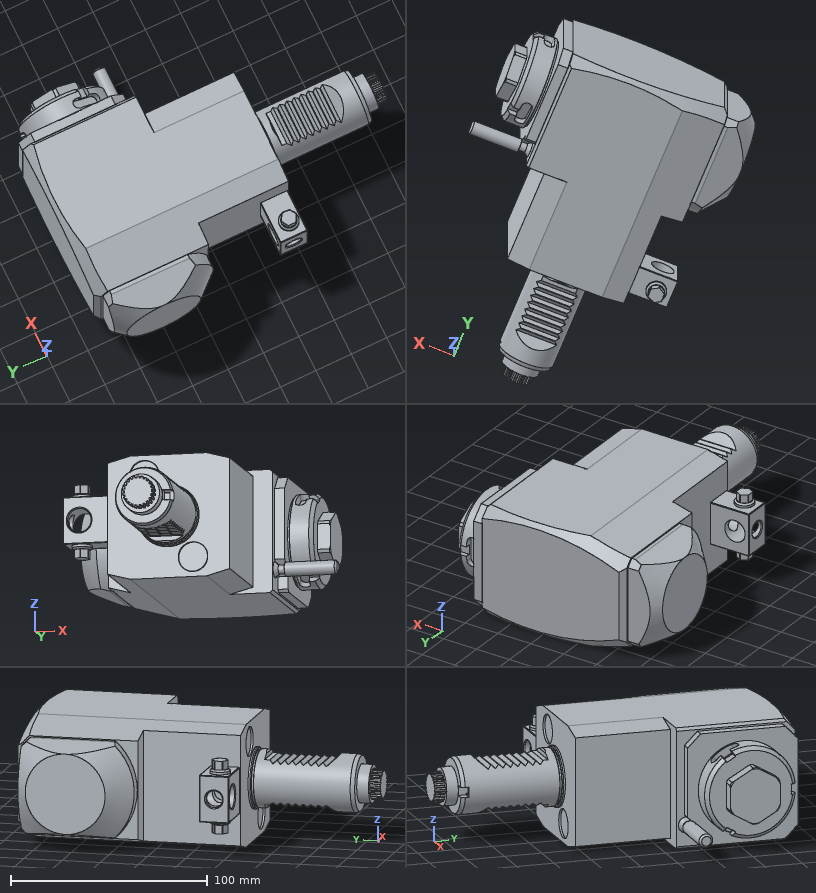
import cadquery as cq
import math


HALF_HEIGHT = 32.0
FLAT_HALF_WIDTH = 20.0
TAPER = math.tan(math.radians(15))
STEM_HALF_WIDTH = 32.0
STEM_LENGTH = 51.0
BODY_BACK = 114.7
BODY_LEFT = -43.7
BODY_RIGHT = 42.4
RIGHT_EDGE_CHAMFER = 1.5
BACK_LEFT_CHAMFER = 3.0
BEVEL_RADIUS = 136.5
BEVEL_CENTER_X = 10.5
BEVEL_BACK_HALF_HEIGHT = 29.7

RECESS_X = 12.7
RECESS_Z = 21.7
RECESS_RADIUS = 7.6
RECESS_DEPTH = 1.1

SPINDLE_Y = 84.8
CAP_LEFT = -61.5
CAP_FACE_RADIUS = 21.0
CAP_RADIUS = 33.5
CAP_CONE_LENGTH = 11.3
CAP_FLAT_Y = 25.8
CAP_FLAT_Z = 25.1

PLATE_RIGHT = 47.7
PLATE_HALF = 29.7
PLATE_CORNER = 7.0
PLATE_RELIEF_Z = -14.0
PLATE_RELIEF_DEPTH = 7.6
PLATE_RELIEF_CHAMFER = 1.5

NECK_RADIUS = 23.3
COLLAR_LEFT = 48.8
COLLAR_RIGHT = 61.0
COLLAR_RADIUS = 24.4
COLLAR_CHAMFER = 2.0
SLOT_X = 53.0
SLOT_WIDTH = 5.5
SLOT_LENGTH = 16.7
SLOT_DEPTH = 4.5
KEYWAY_DEPTH = 3.0
SLOT_COUNT = 3
SLOT_START_ANGLE = 30
HEX_RIGHT = 67.7
HEX_ACROSS_FLATS = 26.8
HEX_TURNED_RADIUS = 15.0
HEX_CHAMFER = 0.5

PIN_Y = 56.0
PIN_Z = -19.3
PIN_RIGHT = 75.3
PIN_LEFT = 48.0
PIN_RADIUS = 3.6
PIN_CHAMFER = 1.1
PIN_FOOT_RADIUS = 4.2
PIN_NECK_RADIUS = 2.4
PIN_FOOT_LENGTH = 2.2

SHANK_RADIUS = 15.1
FLANGE_RADIUS = 16.0
FLANGE_LENGTH = 1.5
FLANGE_CHAMFER = 0.5
GROOVE_RADIUS = 14.5
GROOVE_LENGTH = 1.1
SHANK_END = -55.5
SHANK_CHAMFER_LENGTH = 2.2
SHANK_CHAMFER_DEPTH = 0.7
DRIVE_RADIUS = 10.0
DRIVE_END = -61.7
SPLINE_END = -67.3
SPLINE_RADIUS = 8.0
SPLINE_ROOT_RADIUS = 7.1
SPLINE_TEETH = 22
TOOTH_ROOT_SHARE = 0.6
TOOTH_TIP_SHARE = 0.4
END_SLOT_WIDTH = 5.3
END_SLOT_DEPTH = 4.2
SLOT_FLOOR_WIDTH = 3.6
SLOT_FLOOR_RADIUS = 13.0
SLOT_FLOOR_DEPTH = 1.0

RACK_START = -7.1
RACK_RIM_Z = 14.2
RACK_FLAT_Z = 11.8
RACK_ROOT_Z = 10.2
RACK_WIDTH = 2 * SHANK_RADIUS
TOOTH_PITCH = 4.0
TOOTH_COUNT = 8
FIRST_ROOT_Y = -11.8
TOOTH_LONG_SIDE = 2.0
TOOTH_SHORT_SIDE = 1.6

BLOCK_LEFT = -55.5
BLOCK_FRONT = 0.5
BLOCK_BACK = 16.0
BLOCK_HALF_HEIGHT = 12.2
BLOCK_CHAMFER = 0.4
BLOCK_HOLE_X = -47.0
BLOCK_HOLE_RADIUS = 6.2
SIDE_HOLE_RADIUS = 4.4
HOLE_CHAMFER = 0.5
SIDE_HOLE_END = -36.4
SOCKET_WIDTH = 3.0
SOCKET_DEPTH = 1.8
NOZZLE_Y = 7.1
NOZZLE_FLANGE_RADIUS = 5.3
NOZZLE_FLANGE_TOP = 13.5
NOZZLE_TURNED_RADIUS = 4.2
NOZZLE_ACROSS_FLATS = 7.5
NOZZLE_CONE_TOP = 14.4
NOZZLE_TOP = 19.0

CUT_MARGIN = 1.8


def box(x0, x1, y0, y1, z0, z1):
    """Box between the given limits."""
    return cq.Workplane("XY").box(x1 - x0, y1 - y0, z1 - z0, centered=False).translate((x0, y0, z0))


def slope_height(x):
    """Half height of the housing where its top and bottom slope at 15 degrees."""
    return HALF_HEIGHT - (abs(x) - FLAT_HALF_WIDTH) * TAPER


def prism_along_y(half_outline, y0, y1):
    """Prism from y0 to y1 whose section is the given upper outline and its mirror image below."""
    lower = [(x, -z) for x, z in reversed(half_outline)]
    outline = cq.Workplane("XZ", origin=(0, y0, 0)).polyline(half_outline + lower).close()
    return outline.extrude(y0 - y1)


def turned_along_x(profile, y, z):
    """Solid turned about a line along X through (y, z), from (x, radius) points."""
    first_x, last_x = profile[0][0], profile[-1][0]
    outline = [(first_x, 0)] + profile + [(last_x, 0)]
    turned = cq.Workplane("XY").polyline(outline).close().revolve(360, (0, 0), (1, 0))
    return turned.translate((0, y, z))


def make_housing():
    head_outline = [
        (BODY_LEFT, slope_height(BODY_LEFT)),
        (-FLAT_HALF_WIDTH, HALF_HEIGHT),
        (BODY_RIGHT - RIGHT_EDGE_CHAMFER, HALF_HEIGHT),
        (BODY_RIGHT, HALF_HEIGHT - RIGHT_EDGE_CHAMFER),
    ]
    stem_outline = [
        (-STEM_HALF_WIDTH, slope_height(STEM_HALF_WIDTH)),
        (-FLAT_HALF_WIDTH, HALF_HEIGHT),
        (FLAT_HALF_WIDTH, HALF_HEIGHT),
        (STEM_HALF_WIDTH, slope_height(STEM_HALF_WIDTH)),
    ]
    head = prism_along_y(head_outline, STEM_LENGTH, BODY_BACK)
    for side in (1, -1):
        center = cq.Vector(BEVEL_CENTER_X, BODY_BACK, side * (BEVEL_BACK_HALF_HEIGHT - BEVEL_RADIUS))
        front_radius = BEVEL_RADIUS + BODY_BACK
        cone = cq.Solid.makeCone(BEVEL_RADIUS, front_radius, BODY_BACK, center, cq.Vector(0, -1, 0))
        head = head.intersect(cq.Workplane(cone))
    corner = [
        (BODY_LEFT, BODY_BACK),
        (BODY_LEFT + BACK_LEFT_CHAMFER, BODY_BACK),
        (BODY_LEFT, BODY_BACK - BACK_LEFT_CHAMFER),
    ]
    head = head.cut(cq.Workplane("XY").polyline(corner).close().extrude(HALF_HEIGHT, both=True))
    housing = head.union(prism_along_y(stem_outline, 0, STEM_LENGTH))
    for side in (1, -1):
        recess = cq.Workplane("XZ").center(-side * RECESS_X, side * RECESS_Z).circle(RECESS_RADIUS)
        housing = housing.cut(recess.extrude(-RECESS_DEPTH))
    return housing


def make_cap():
    profile = [
        (CAP_LEFT, CAP_FACE_RADIUS),
        (CAP_LEFT + CAP_CONE_LENGTH, CAP_RADIUS),
        (BODY_LEFT, CAP_RADIUS),
    ]
    round_cap = turned_along_x(profile, SPINDLE_Y, 0)
    flat_limit_x = -FLAT_HALF_WIDTH - (HALF_HEIGHT - CAP_FLAT_Z) / TAPER
    flats = [
        (CAP_LEFT, slope_height(CAP_LEFT)),
        (flat_limit_x, CAP_FLAT_Z),
        (BODY_LEFT, CAP_FLAT_Z),
    ]
    return round_cap.intersect(prism_along_y(flats, 0, SPINDLE_Y + CAP_FLAT_Y))


def make_plate():
    low_y = SPINDLE_Y - PLATE_HALF
    high_y = SPINDLE_Y + PLATE_HALF
    relief_y = low_y + PLATE_RELIEF_DEPTH
    outline = [
        (low_y, PLATE_HALF - PLATE_CORNER),
        (low_y + PLATE_CORNER, PLATE_HALF),
        (high_y - PLATE_CORNER, PLATE_HALF),
        (high_y, PLATE_HALF - PLATE_CORNER),
        (high_y, PLATE_CORNER - PLATE_HALF),
        (high_y - PLATE_CORNER, -PLATE_HALF),
        (relief_y + PLATE_RELIEF_CHAMFER, -PLATE_HALF),
        (relief_y, PLATE_RELIEF_CHAMFER - PLATE_HALF),
        (relief_y, PLATE_RELIEF_Z - PLATE_RELIEF_DEPTH),
        (low_y, PLATE_RELIEF_Z),
    ]
    plane = cq.Workplane("YZ", origin=(BODY_RIGHT, 0, 0))
    return plane.polyline(outline).close().extrude(PLATE_RIGHT - BODY_RIGHT)


def make_collar():
    profile = [
        (PLATE_RIGHT, NECK_RADIUS),
        (COLLAR_LEFT, NECK_RADIUS),
        (COLLAR_LEFT, COLLAR_RADIUS),
        (COLLAR_RIGHT - COLLAR_CHAMFER, COLLAR_RADIUS),
        (COLLAR_RIGHT, COLLAR_RADIUS - COLLAR_CHAMFER),
    ]
    collar = turned_along_x(profile, SPINDLE_Y, 0)
    slot_plane = cq.Workplane("XY", origin=(SLOT_X, SPINDLE_Y, COLLAR_RADIUS - SLOT_DEPTH))
    slot = slot_plane.slot2D(SLOT_LENGTH, SLOT_WIDTH, 90).extrude(SLOT_DEPTH + CUT_MARGIN)
    keyway = box(
        SLOT_X, COLLAR_RIGHT + CUT_MARGIN,
        SPINDLE_Y - SLOT_WIDTH / 2, SPINDLE_Y + SLOT_WIDTH / 2,
        COLLAR_RADIUS - KEYWAY_DEPTH, COLLAR_RADIUS + CUT_MARGIN,
    )
    cutter = slot.union(keyway)
    axis = ((0, SPINDLE_Y, 0), (1, SPINDLE_Y, 0))
    for index in range(SLOT_COUNT):
        angle = SLOT_START_ANGLE + index * 360 / SLOT_COUNT
        collar = collar.cut(cutter.rotate(*axis, angle))
    return collar


def make_hexagon():
    across_corners = HEX_ACROSS_FLATS / math.cos(math.pi / 6)
    plane = cq.Workplane("YZ", origin=(COLLAR_RIGHT, SPINDLE_Y, 0))
    hexagon = plane.transformed(rotate=(0, 0, 90)).polygon(6, across_corners)
    profile = [
        (COLLAR_RIGHT, HEX_TURNED_RADIUS),
        (HEX_RIGHT - HEX_CHAMFER, HEX_TURNED_RADIUS),
        (HEX_RIGHT, HEX_TURNED_RADIUS - HEX_CHAMFER),
    ]
    return hexagon.extrude(HEX_RIGHT - COLLAR_RIGHT).intersect(turned_along_x(profile, SPINDLE_Y, 0))


def make_pin():
    profile = [
        (BODY_RIGHT, PIN_FOOT_RADIUS),
        (BODY_RIGHT + PIN_FOOT_LENGTH, PIN_NECK_RADIUS),
        (PIN_LEFT, PIN_NECK_RADIUS),
        (PIN_LEFT, PIN_RADIUS),
        (PIN_RIGHT - PIN_CHAMFER, PIN_RADIUS),
        (PIN_RIGHT, PIN_RADIUS - PIN_CHAMFER),
    ]
    return turned_along_x(profile, PIN_Y, PIN_Z)


def make_rack_cutter():
    """Cutter for the rack teeth above the shank axis."""
    outside = SHANK_RADIUS + CUT_MARGIN
    outline = [
        (RACK_START + outside - RACK_RIM_Z, outside),
        (RACK_START, RACK_RIM_Z),
        (RACK_START, RACK_FLAT_Z),
    ]
    for index in range(TOOTH_COUNT):
        root_y = FIRST_ROOT_Y - index * TOOTH_PITCH
        outline.append((root_y + TOOTH_LONG_SIDE, RACK_FLAT_Z))
        outline.append((root_y, RACK_ROOT_Z))
        outline.append((root_y - TOOTH_SHORT_SIDE, RACK_FLAT_Z))
    last_tip_y = root_y - TOOTH_SHORT_SIDE
    outline.append((last_tip_y - (outside - RACK_FLAT_Z), outside))
    return cq.Workplane("YZ").polyline(outline).close().extrude(RACK_WIDTH / 2, both=True)


def make_spline():
    half_pitch = math.pi / SPLINE_TEETH
    outline = []
    for tooth in range(SPLINE_TEETH):
        for radius, offset in (
            (SPLINE_ROOT_RADIUS, -TOOTH_ROOT_SHARE),
            (SPLINE_RADIUS, -TOOTH_TIP_SHARE),
            (SPLINE_RADIUS, TOOTH_TIP_SHARE),
            (SPLINE_ROOT_RADIUS, TOOTH_ROOT_SHARE),
        ):
            angle = (2 * tooth + offset) * half_pitch
            outline.append((radius * math.sin(angle), radius * math.cos(angle)))
    plane = cq.Workplane("XZ", origin=(0, DRIVE_END, 0))
    return plane.polyline(outline).close().extrude(DRIVE_END - SPLINE_END)


def make_shank():
    profile = [
        (0, 0),
        (FLANGE_RADIUS, 0),
        (FLANGE_RADIUS, FLANGE_CHAMFER - FLANGE_LENGTH),
        (FLANGE_RADIUS - FLANGE_CHAMFER, -FLANGE_LENGTH),
        (GROOVE_RADIUS, -FLANGE_LENGTH),
        (GROOVE_RADIUS, -FLANGE_LENGTH - GROOVE_LENGTH),
        (SHANK_RADIUS, -FLANGE_LENGTH - GROOVE_LENGTH),
        (SHANK_RADIUS, SHANK_END + SHANK_CHAMFER_LENGTH),
        (SHANK_RADIUS - SHANK_CHAMFER_DEPTH, SHANK_END),
        (DRIVE_RADIUS, SHANK_END),
        (DRIVE_RADIUS, DRIVE_END),
        (0, DRIVE_END),
    ]
    shank = cq.Workplane("XY").polyline(profile).close().revolve(360, (0, 0), (0, 1))
    rack = make_rack_cutter()
    shank = shank.cut(rack).cut(rack.mirror("XY"))
    slot_floor = SHANK_END + END_SLOT_DEPTH
    end_slot = box(
        DRIVE_RADIUS, SHANK_RADIUS + CUT_MARGIN,
        SHANK_END, slot_floor,
        -END_SLOT_WIDTH / 2, END_SLOT_WIDTH / 2,
    )
    floor_recess = box(
        DRIVE_RADIUS, SLOT_FLOOR_RADIUS,
        slot_floor, slot_floor + SLOT_FLOOR_DEPTH,
        -SLOT_FLOOR_WIDTH / 2, SLOT_FLOOR_WIDTH / 2,
    )
    return shank.cut(end_slot).cut(floor_recess).union(make_spline())


def make_nozzle():
    """Hexagon nozzle on a round flange, on top of the coolant block."""
    flange_profile = [
        (0, BLOCK_HALF_HEIGHT),
        (NOZZLE_FLANGE_RADIUS, BLOCK_HALF_HEIGHT),
        (NOZZLE_FLANGE_RADIUS, NOZZLE_FLANGE_TOP),
        (NOZZLE_TURNED_RADIUS, NOZZLE_CONE_TOP),
        (0, NOZZLE_CONE_TOP),
    ]
    flange = cq.Workplane("XZ").polyline(flange_profile).close().revolve(360, (0, 0), (0, 1))
    across_corners = NOZZLE_ACROSS_FLATS / math.cos(math.pi / 6)
    plane = cq.Workplane("XY", origin=(0, 0, NOZZLE_CONE_TOP)).transformed(rotate=(0, 0, 90))
    head_length = NOZZLE_TOP - NOZZLE_CONE_TOP
    hexagon = plane.polygon(6, across_corners).extrude(head_length)
    head = hexagon.intersect(plane.circle(NOZZLE_TURNED_RADIUS).extrude(head_length))
    return flange.union(head).translate((BLOCK_HOLE_X, NOZZLE_Y, 0))


def make_coolant_block():
    block = box(
        BLOCK_LEFT, -STEM_HALF_WIDTH, BLOCK_FRONT, BLOCK_BACK, -BLOCK_HALF_HEIGHT, BLOCK_HALF_HEIGHT
    )
    block = block.faces("<X").edges().chamfer(BLOCK_CHAMFER)
    block = block.edges("|X").chamfer(BLOCK_CHAMFER)
    front_face = cq.Workplane("XZ", origin=(BLOCK_HOLE_X, BLOCK_FRONT, 0))
    block = block.cut(front_face.circle(BLOCK_HOLE_RADIUS).extrude(BLOCK_FRONT - BLOCK_BACK))
    countersink = front_face.circle(BLOCK_HOLE_RADIUS + HOLE_CHAMFER)
    block = block.cut(countersink.extrude(-HOLE_CHAMFER, taper=45))
    hole_y = (BLOCK_FRONT + BLOCK_BACK) / 2
    side_profile = [
        (BLOCK_LEFT, SIDE_HOLE_RADIUS + HOLE_CHAMFER),
        (BLOCK_LEFT + HOLE_CHAMFER, SIDE_HOLE_RADIUS),
        (SIDE_HOLE_END, SIDE_HOLE_RADIUS),
    ]
    block = block.cut(turned_along_x(side_profile, hole_y, 0))
    socket = cq.Workplane("YZ", origin=(SIDE_HOLE_END, hole_y, 0)).polygon(6, SOCKET_WIDTH)
    block = block.cut(socket.extrude(SOCKET_DEPTH))
    nozzle = make_nozzle()
    return block.union(nozzle).union(nozzle.mirror("XY"))


result = make_housing()
for feature in (
    make_cap(),
    make_plate(),
    make_collar(),
    make_hexagon(),
    make_pin(),
    make_shank(),
    make_coolant_block(),
):
    result = result.union(feature)